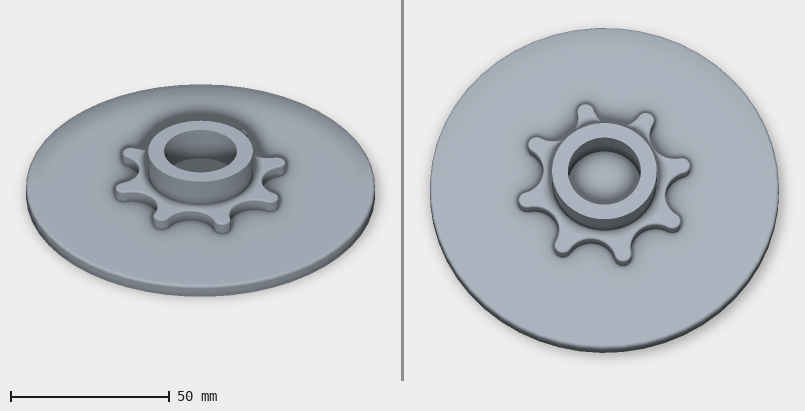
import cadquery as cq
import math

total_height = 17.0
disc_diameter = 110.0
disc_thickness = 4.1
disc_edge_round = 1.0

tooth_count = 8
sprocket_thickness = 4.0
root_radius = 19.6
tip_center_radius = 25.1
tip_round_radius = 2.6
sprocket_edge_round = 0.5

hub_diameter = 33.0
bore_diameter = 23.0
bore_depth = 11.0

sprocket_top = disc_thickness + sprocket_thickness
half_pitch = math.pi / tooth_count

tip_to_root = root_radius - tip_round_radius
gullet_center_radius = (tip_center_radius**2 - tip_to_root**2) / (
    2 * (tip_center_radius * math.cos(half_pitch) - tip_to_root)
)
gullet_radius = gullet_center_radius - root_radius


def polar(radius, angle):
    return (radius * math.cos(angle), radius * math.sin(angle))


tip_x, tip_y = polar(tip_center_radius, half_pitch)
tip_share = tip_round_radius / (tip_round_radius + gullet_radius)
tangent_x = tip_x + tip_share * (gullet_center_radius - tip_x)
tangent_y = tip_y - tip_share * tip_y
tangent_radius = math.hypot(tangent_x, tangent_y)
tangent_angle = math.atan2(tangent_y, tangent_x)


def make_disc():
    disc = cq.Workplane("XY").circle(disc_diameter / 2).extrude(disc_thickness)
    return disc.faces(">Z").edges().fillet(disc_edge_round)


def make_sprocket():
    outline = cq.Workplane("XY").workplane(offset=disc_thickness)
    outline = outline.moveTo(*polar(tangent_radius, -tangent_angle))
    for tooth in range(tooth_count):
        gullet_angle = 2 * half_pitch * tooth
        tip_angle = gullet_angle + half_pitch
        next_gullet_angle = gullet_angle + 2 * half_pitch
        outline = outline.threePointArc(
            polar(root_radius, gullet_angle),
            polar(tangent_radius, gullet_angle + tangent_angle),
        )
        outline = outline.threePointArc(
            polar(tip_center_radius + tip_round_radius, tip_angle),
            polar(tangent_radius, next_gullet_angle - tangent_angle),
        )
    sprocket = outline.close().extrude(sprocket_thickness)
    return sprocket.faces(">Z").edges().fillet(sprocket_edge_round)


def make_hub():
    hub = cq.Workplane("XY").workplane(offset=sprocket_top)
    return hub.circle(hub_diameter / 2).extrude(total_height - sprocket_top)


def make_bore():
    bore = cq.Workplane("XY").workplane(offset=total_height - bore_depth)
    return bore.circle(bore_diameter / 2).extrude(bore_depth)


result = make_disc().union(make_sprocket()).union(make_hub()).cut(make_bore())